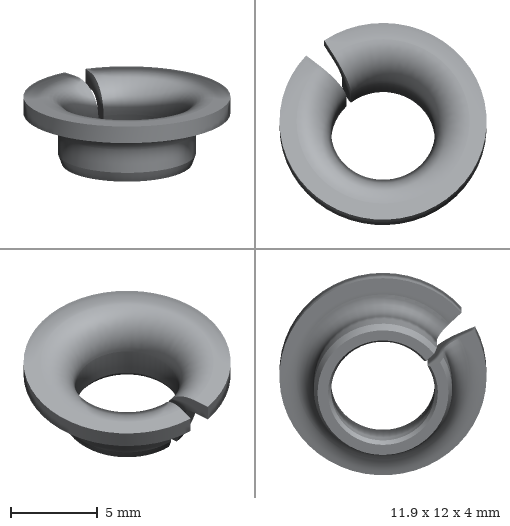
import cadquery as cq
import math

flange_radius = 5.98
height = 4.0
wall = height / 4
bore_radius = 3 * wall
neck_radius = bore_radius + wall
mouth_radius = 2 * wall
fillet_radius = mouth_radius - wall
tip_height = 0.6
tip_angle = 20.0
bore_chamfer_height = 0.3
bore_chamfer_angle = 30.0
slit_half_angle = 10.0
slit_apex_x = -2 * wall

curve_x = bore_radius + mouth_radius
curve_z = height - mouth_radius
tip_radius = neck_radius - tip_height * math.tan(math.radians(tip_angle))
flare_radius = bore_radius + bore_chamfer_height * math.tan(math.radians(bore_chamfer_angle))


def arc_middle(radius):
    """Middle of the quarter arc facing the axis, around the shared centre."""
    offset = radius * math.sqrt(0.5)
    return curve_x - offset, curve_z + offset


def flanged_bushing():
    """Revolve the wall section around Z, with the seam turned into the slit."""
    return (
        cq.Workplane("XZ")
        .moveTo(flare_radius, 0)
        .lineTo(tip_radius, 0)
        .lineTo(neck_radius, tip_height)
        .lineTo(neck_radius, curve_z)
        .threePointArc(arc_middle(fillet_radius), (curve_x, height - wall))
        .lineTo(flange_radius, height - wall)
        .lineTo(flange_radius, height)
        .lineTo(curve_x, height)
        .threePointArc(arc_middle(mouth_radius), (bore_radius, curve_z))
        .lineTo(bore_radius, bore_chamfer_height)
        .close()
        .revolve(360, (0, 0), (0, 1))
        .rotate((0, 0, 0), (0, 0, 1), 180)
    )


def slit_wedge():
    """Wedge that opens the ring on its -X side, widening outwards past the rim."""
    outer_x = -(flange_radius + wall)
    half_width = (slit_apex_x - outer_x) * math.tan(math.radians(slit_half_angle))
    return (
        cq.Workplane("XY")
        .polyline([(slit_apex_x, 0), (outer_x, half_width), (outer_x, -half_width)])
        .close()
        .extrude(height)
    )


result = flanged_bushing().cut(slit_wedge())